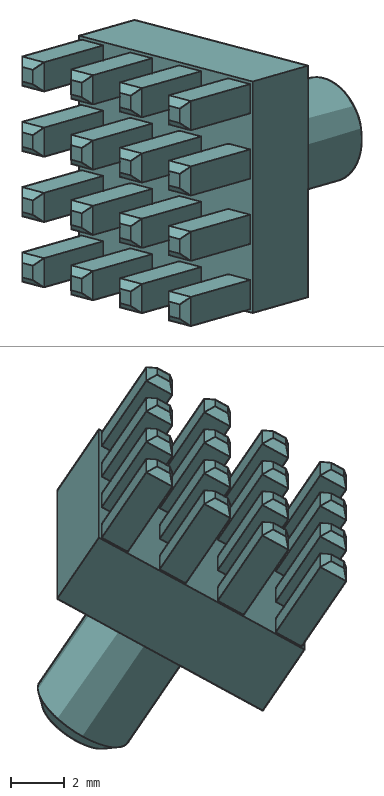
import cadquery as cq

block_side = 9.0
block_depth = 3.0

stud_diameter = 4.0
stud_length = 6.0
stud_chamfer = 0.5

pin_count = 4
pin_pitch = 2.54
pin_width = 1.14
pin_length = 3.5
pin_tip_width = 0.56
pin_tip_length = 0.3


def make_block():
    """Block with its front face on the plane Y = 0."""
    return cq.Workplane("XY").box(block_side, block_depth, block_side, centered=(True, False, True))


def make_stud():
    """Stud along +Y, starting on the back face of the block."""
    return (
        cq.Workplane("XZ", origin=(0, block_depth, 0))
        .circle(stud_diameter / 2)
        .extrude(-stud_length)
        .faces(">Y")
        .chamfer(stud_chamfer)
    )


def make_pin(x, z):
    """Pin along -Y, ending in a blunt pyramid."""
    shank_length = pin_length - pin_tip_length
    shank = cq.Workplane("XZ", origin=(x, 0, z)).rect(pin_width, pin_width).extrude(shank_length)
    tip = (
        cq.Workplane("XZ", origin=(x, -shank_length, z))
        .rect(pin_width, pin_width)
        .workplane(offset=pin_tip_length)
        .rect(pin_tip_width, pin_tip_width)
        .loft(ruled=True)
    )
    return shank.union(tip)


pin_places = [(i - (pin_count - 1) / 2) * pin_pitch for i in range(pin_count)]

result = make_block().union(make_stud())
for x in pin_places:
    for z in pin_places:
        result = result.union(make_pin(x, z))